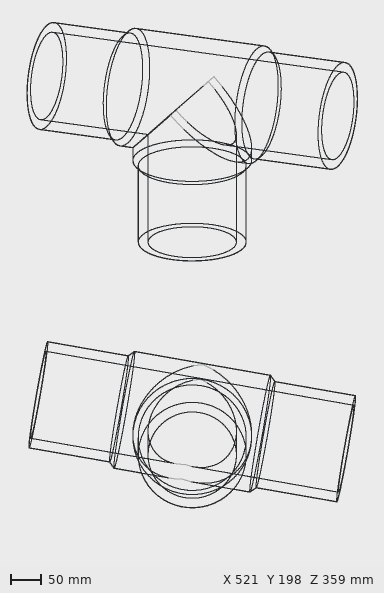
import cadquery as cq

pipe_diameter = 180.0
bore_diameter = 147.2
body_diameter = 198.0
run_length = 521.0
branch_length = 260.0
body_reach = 124.0
body_chamfer = (body_diameter - pipe_diameter) / 2

arms = [
    ((1, 0, 0), ">X", run_length / 2),
    ((-1, 0, 0), "<X", run_length / 2),
    ((0, 0, -1), "<Z", branch_length),
]


def cylinder(diameter, length, direction):
    """Cylinder starting at the axis crossing and running along the given direction."""
    start_plane = cq.Plane(origin=(0, 0, 0), normal=direction)
    return cq.Workplane(start_plane).circle(diameter / 2).extrude(length)


def solid_arm(direction, end_face, length):
    """Thick body with a bevelled end, continued by the plain pipe."""
    body = cylinder(body_diameter, body_reach, direction)
    body = body.faces(end_face).chamfer(body_chamfer)
    return body.union(cylinder(pipe_diameter, length, direction))


tee = cq.Workplane("XY")
for direction, end_face, length in arms:
    tee = tee.union(solid_arm(direction, end_face, length))

for direction, _, length in arms:
    tee = tee.cut(cylinder(bore_diameter, length, direction))

result = tee.clean()